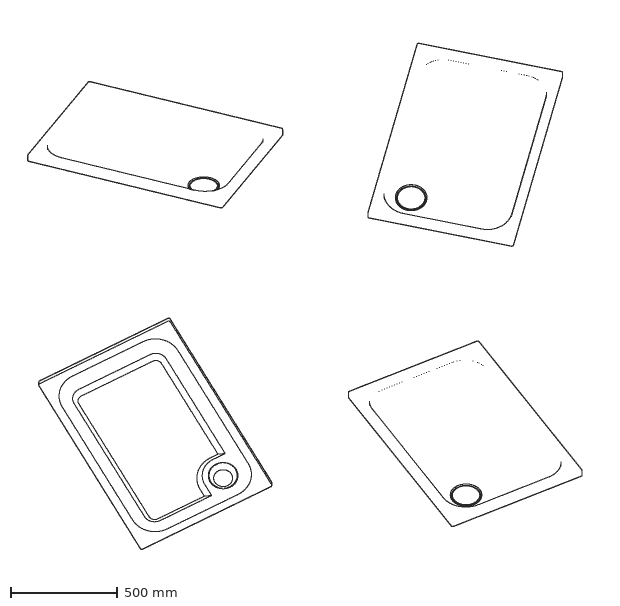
import cadquery as cq
import math

LENGTH = 1006.0
WIDTH = 706.0
TOTAL_HEIGHT = 85.0
RIM_HEIGHT = 37.0
RIM_ROUND = 9.0

LIP_ROUND = 8.0
BOWL_LENGTH = 921.0
BOWL_WIDTH = 616.0
BOWL_CORNER = 118.0
BOWL_DEPTH = 54.0
FLOOR_ROUND = 31.0
SHELL = 6.0

FOOT_LENGTH = 797.0
FOOT_WIDTH = 495.0
FOOT_CORNER = 55.0
TAPER_ANGLE = 45.0

DRAIN_X = 332.0
DRAIN_Y = -182.0
NOTCH_RADIUS = 99.0
CUP_BOTTOM_DIAMETER = 90.0
RECESS_TOP_RADIUS = 74.0
RECESS_BOTTOM_RADIUS = 67.0
RECESS_DEPTH = 3.0
COVER_DIAMETER = 130.0
DOME_HEIGHT = 9.0

FLOOR_Z = -BOWL_DEPTH
UNDERSIDE_Z = FLOOR_Z - SHELL
BOTTOM_Z = -TOTAL_HEIGHT
FOOT_HEIGHT = UNDERSIDE_Z - BOTTOM_Z
RECESS_Z = FLOOR_Z - RECESS_DEPTH


def rounded_block(length, width, corner, height):
    """A block with rounded upright edges that hangs down from Z = 0."""
    block = cq.Workplane("XY").rect(length, width).extrude(-height)
    return block.edges("|Z").fillet(corner)


def tapered_disc(top_z, top_radius, bottom_z, bottom_radius):
    """A cone frustum on the drain axis."""
    profile = [(0, top_z), (top_radius, top_z), (bottom_radius, bottom_z), (0, bottom_z)]
    disc = cq.Workplane("XZ").polyline(profile).close().revolve(360, (0, 0), (0, 1))
    return disc.translate((DRAIN_X, DRAIN_Y, 0))


def make_rim():
    rim = rounded_block(LENGTH, WIDTH, RIM_ROUND, RIM_HEIGHT)
    return rim.faces(">Z").edges().fillet(RIM_ROUND)


def make_bowl_shape(offset):
    """The hollow of the bowl, grown outward and downward by an offset."""
    bowl = rounded_block(
        BOWL_LENGTH + 2 * offset,
        BOWL_WIDTH + 2 * offset,
        BOWL_CORNER + offset,
        BOWL_DEPTH + offset,
    )
    return bowl.faces("<Z").edges().fillet(FLOOR_ROUND + offset)


def make_foot():
    """The foot, tapered all round, with one corner cut back around the drain."""
    right = FOOT_LENGTH / 2
    back = FOOT_WIDTH / 2
    notch_left = DRAIN_X - NOTCH_RADIUS
    notch_back = DRAIN_Y + NOTCH_RADIUS
    arc_middle = NOTCH_RADIUS * math.sqrt(0.5)
    corner_middle = FOOT_CORNER * (1 - math.sqrt(0.5))
    outline = (
        cq.Workplane("XY", origin=(0, 0, UNDERSIDE_Z))
        .moveTo(notch_left, -back)
        .lineTo(notch_left, DRAIN_Y)
        .threePointArc((DRAIN_X - arc_middle, DRAIN_Y + arc_middle), (DRAIN_X, notch_back))
        .lineTo(right, notch_back)
        .lineTo(right, back - FOOT_CORNER)
        .threePointArc((right - corner_middle, back - corner_middle), (right - FOOT_CORNER, back))
        .lineTo(FOOT_CORNER - right, back)
        .threePointArc((corner_middle - right, back - corner_middle), (-right, back - FOOT_CORNER))
        .lineTo(-right, FOOT_CORNER - back)
        .threePointArc((corner_middle - right, corner_middle - back), (FOOT_CORNER - right, -back))
        .close()
    )
    return outline.extrude(-FOOT_HEIGHT, taper=TAPER_ANGLE)


def make_cup():
    """The cup under the drain, tapered like the foot and as deep as it."""
    bottom_radius = CUP_BOTTOM_DIAMETER / 2
    top_radius = bottom_radius + FOOT_HEIGHT * math.tan(math.radians(TAPER_ANGLE))
    return tapered_disc(UNDERSIDE_Z, top_radius, BOTTOM_Z, bottom_radius)


def round_lip(tray):
    """Round the edge where the bowl opens in the top face."""
    lip = tray.faces(">Z").val().innerWires()[0]
    return tray.newObject(lip.Edges()).fillet(LIP_ROUND)


def make_tray():
    tray = make_rim().union(make_bowl_shape(SHELL))
    tray = round_lip(tray.cut(make_bowl_shape(0)))
    tray = tray.union(make_foot()).union(make_cup())
    return tray.cut(tapered_disc(FLOOR_Z, RECESS_TOP_RADIUS, RECESS_Z, RECESS_BOTTOM_RADIUS))


def make_cover():
    """A domed disc that rests in the recess with its edge level with the bowl floor."""
    radius = COVER_DIAMETER / 2
    apex_z = FLOOR_Z + DOME_HEIGHT
    dome_radius = (radius**2 + DOME_HEIGHT**2) / (2 * DOME_HEIGHT)
    halfway = radius / 2
    halfway_z = apex_z - dome_radius + math.sqrt(dome_radius**2 - halfway**2)
    profile = (
        cq.Workplane("XZ")
        .moveTo(0, RECESS_Z)
        .lineTo(radius, RECESS_Z)
        .lineTo(radius, FLOOR_Z)
        .threePointArc((halfway, halfway_z), (0, apex_z))
        .close()
    )
    return profile.revolve(360, (0, 0), (0, 1)).translate((DRAIN_X, DRAIN_Y, 0))


tray = make_tray()
cover = make_cover()
result = cq.Compound.makeCompound([tray.val(), cover.val()])